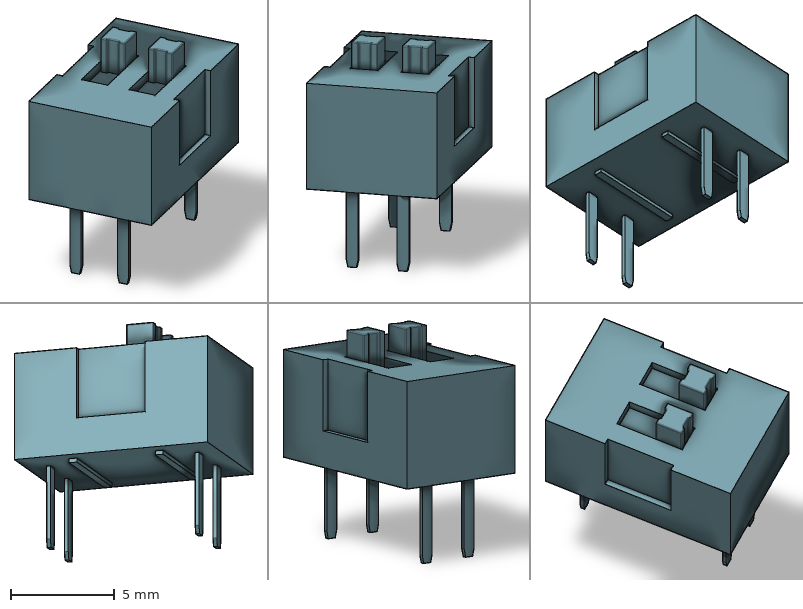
import cadquery as cq

BODY_X = 6.54
BODY_Y = 9.9
BODY_Z = 5.3

RECESS_DEPTH = 0.3
RECESS_Y = 3.52
RECESS_Z = 3.5

SWITCH_COUNT = 2
PITCH = 2.54

WINDOW_X = 1.4
WINDOW_Y = 3.5
WINDOW_DEPTH = 0.5

ACTUATOR_X = 1.3
ACTUATOR_Y = 1.38
ACTUATOR_RISE = 1.31
ACTUATOR_END_GAP = 0.06
CORNER_FILLET = 0.05
TOP_FILLET = 0.049
GRIP_OUTER_X = 0.66
GRIP_INNER_X = 0.54
GRIP_DEPTH = 0.1

STANDOFF_X = 5.04
STANDOFF_Y = 0.4
STANDOFF_Z = 0.2
STANDOFF_SPACING = 4.42

PIN_X = 0.6
PIN_THICKNESS = 0.2
PIN_LENGTH = 4.04
PIN_ROW_SPACING = 7.62
TIP_X = 0.42
TIP_LENGTH = 0.4

switch_xs = [PITCH * (i - (SWITCH_COUNT - 1) / 2) for i in range(SWITCH_COUNT)]


def block(size_x, size_y, size_z, x, y, bottom_z):
    """Box centred at (x, y) that stands on bottom_z."""
    box = cq.Workplane("XY").box(size_x, size_y, size_z, centered=(True, True, False))
    return box.translate((x, y, bottom_z))


def make_housing():
    housing = block(BODY_X, BODY_Y, BODY_Z, 0, 0, 0)
    for side in (-1, 1):
        recess_x = side * (BODY_X - RECESS_DEPTH) / 2
        housing = housing.cut(block(RECESS_DEPTH, RECESS_Y, RECESS_Z, recess_x, 0, BODY_Z - RECESS_Z))
    for x in switch_xs:
        housing = housing.cut(block(WINDOW_X, WINDOW_Y, WINDOW_DEPTH, x, 0, BODY_Z - WINDOW_DEPTH))
    return housing


def make_actuator(x):
    """Block with a trapezoidal finger groove down each Y face and softened edges."""
    half_x = ACTUATOR_X / 2
    half_y = ACTUATOR_Y / 2
    outer = GRIP_OUTER_X / 2
    inner = GRIP_INNER_X / 2
    groove_y = half_y - GRIP_DEPTH
    front_edge = [
        (-half_x, -half_y),
        (-outer, -half_y),
        (-inner, -groove_y),
        (inner, -groove_y),
        (outer, -half_y),
        (half_x, -half_y),
    ]
    back_edge = [(-px, -py) for px, py in front_edge]
    actuator = (
        cq.Workplane("XY")
        .polyline(front_edge + back_edge)
        .close()
        .extrude(WINDOW_DEPTH + ACTUATOR_RISE)
        .edges("|Z")
        .fillet(CORNER_FILLET)
        .faces(">Z")
        .edges()
        .fillet(TOP_FILLET)
    )
    center_y = (WINDOW_Y - ACTUATOR_Y) / 2 - ACTUATOR_END_GAP
    return actuator.translate((x, center_y, BODY_Z - WINDOW_DEPTH))


def make_pin(x, y):
    """Flat pin hanging from the underside, tapered in X at its tip."""
    half = PIN_X / 2
    half_tip = TIP_X / 2
    taper_z = TIP_LENGTH - PIN_LENGTH
    outline = [
        (-half, 0),
        (-half, taper_z),
        (-half_tip, -PIN_LENGTH),
        (half_tip, -PIN_LENGTH),
        (half, taper_z),
        (half, 0),
    ]
    pin = cq.Workplane("XZ").polyline(outline).close().extrude(PIN_THICKNESS / 2, both=True)
    return pin.translate((x, y, 0))


result = make_housing()
for switch_x in switch_xs:
    result = result.union(make_actuator(switch_x))
for end in (-1, 1):
    standoff_y = end * STANDOFF_SPACING / 2
    result = result.union(block(STANDOFF_X, STANDOFF_Y, STANDOFF_Z, 0, standoff_y, -STANDOFF_Z))
    for switch_x in switch_xs:
        result = result.union(make_pin(switch_x, end * PIN_ROW_SPACING / 2))